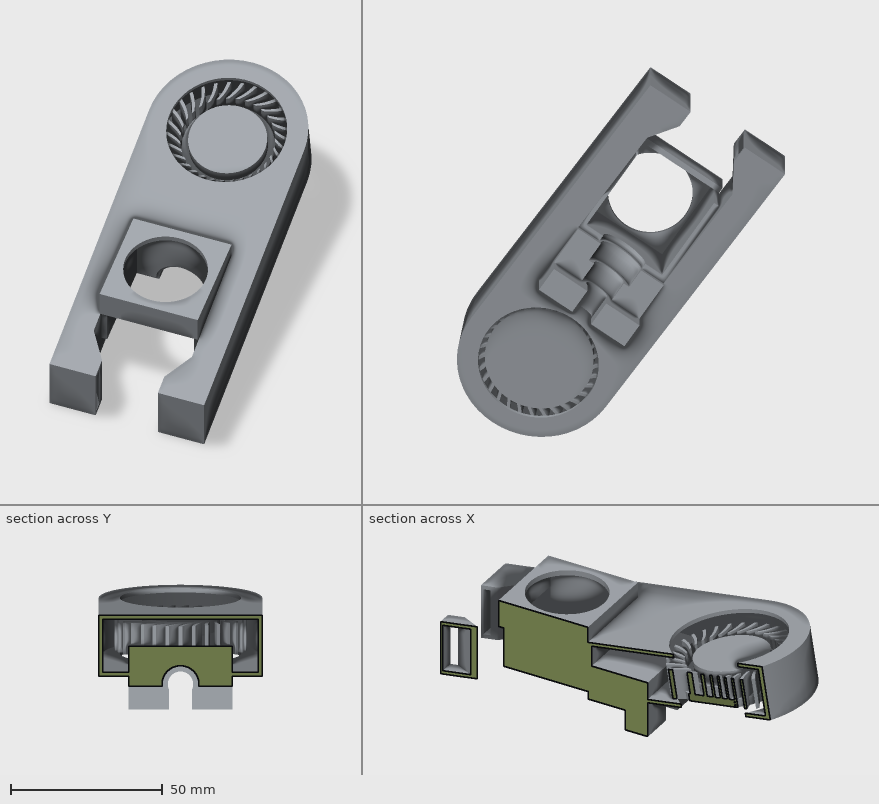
import cadquery as cq
import math

overall_length = 130.6
overall_height = 41.1
arm_width = 54.0
arm_thickness = 20.0
tilt = math.radians(9.2)
shell = 1.5

arm_radius = arm_width / 2
arm_length = (overall_length - arm_thickness * math.sin(tilt)) / math.cos(tilt)
hub_distance = arm_length - arm_radius
front_top_z = overall_height - arm_length * math.sin(tilt)
intake_radius = 20.0

fork_width = 34.2
fork_back_y = 56.2
fork_taper_back_y = 16.2
fork_taper_front_y = 6.4
fork_mouth_width = 21.7
prong_end_wall = 0.9

duct_wall = 2.0
duct_length = 34.1
duct_front_y = fork_back_y - duct_length
duct_top_z = 35.4
duct_bottom_z = 10.5
front_wall_height = 10.2
outlet_radius = 14.0
rear_arch_radius = 8.5

connector_back_y = 78.9
connector_bottom_z = 7.6
flange_thickness = 8.8
bore_z = 8.4
outer_bore_radius = 8.1
outer_bore_depth = 6.9
middle_bore_radius = 6.0
through_bore_radius = 4.2
flange_slot_width = 7.6

impeller_depth = 6.0
impeller_height = 11.0
disc_radius = 13.0
disc_rise = 4.5
hub_radius = 15.4
base_radius = 18.0
base_thickness = 2.9
blade_root_radius = 15.7
blade_tip_radius = 22.0
blade_count = 31
blade_sweep = 13.2
blade_bulge = 0.9
blade_thickness = 1.2
first_blade_angle = -90.0

tilted = cq.Plane(
    origin=(0, 0, front_top_z),
    xDir=(1, 0, 0),
    normal=(0, -math.sin(tilt), math.cos(tilt)),
)


def box_between(x_size, y_min, y_max, z_min, z_max):
    """Upright box centred on X."""
    return (
        cq.Workplane("XY")
        .box(x_size, y_max - y_min, z_max - z_min, centered=(True, False, False))
        .translate((0, y_min, z_min))
    )


def bore(radius, z, y_min, y_max):
    """Cylinder along Y on the centre plane."""
    return (
        cq.Workplane("XZ", origin=(0, y_min, z))
        .circle(radius)
        .extrude(y_min - y_max)
    )


def tilted_cylinder(radius, depth, height):
    """Cylinder on the fan axis, starting at a depth below the arm's top face."""
    return (
        cq.Workplane(tilted)
        .workplane(offset=-depth)
        .center(0, hub_distance)
        .circle(radius)
        .extrude(-height)
    )


def arm_block(inset, front_y):
    """Round-ended tilted arm, inset on every face and cut upright at front_y."""
    half_width = arm_radius - inset
    block = (
        cq.Workplane(tilted)
        .workplane(offset=-inset)
        .moveTo(-half_width, -arm_thickness)
        .lineTo(-half_width, hub_distance)
        .threePointArc((0, hub_distance + half_width), (half_width, hub_distance))
        .lineTo(half_width, -arm_thickness)
        .close()
        .extrude(-(arm_thickness - 2 * inset))
    )
    return block.intersect(
        box_between(arm_width, front_y, overall_length, -overall_height, overall_height)
    )


def fork_prism(half_width, back_y, taper_back_y, taper_front_y):
    """Upright prism through the fork, narrowing to the mouth between the prong tips."""
    half_mouth = fork_mouth_width / 2
    front_y = -arm_thickness
    return (
        cq.Workplane("XY", origin=(0, 0, -overall_height))
        .polyline([
            (-half_mouth, front_y),
            (-half_mouth, taper_front_y),
            (-half_width, taper_back_y),
            (-half_width, back_y),
            (half_width, back_y),
            (half_width, taper_back_y),
            (half_mouth, taper_front_y),
            (half_mouth, front_y),
        ])
        .close()
        .extrude(2 * overall_height)
    )


def fork_opening():
    return fork_prism(fork_width / 2, fork_back_y, fork_taper_back_y, fork_taper_front_y)


def fork_walls():
    """Fork opening grown by the shell, except at the mouth.

    The mouth has no wall, so the hollow of each prong breaks out
    in front of its taper as an upright window.
    """
    taper_width = (fork_width - fork_mouth_width) / 2
    taper_length = fork_taper_back_y - fork_taper_front_y
    taper_shift = shell * math.hypot(taper_width, taper_length) / taper_width
    window_back_y = fork_taper_front_y - taper_shift
    grown_length = taper_length * (taper_width + shell) / taper_width
    return fork_prism(
        fork_width / 2 + shell,
        fork_back_y + shell,
        window_back_y + grown_length,
        window_back_y,
    )


def hollow_arm():
    """Thin-walled arm with intake holes in both faces and the fork cut through."""
    cavity = arm_block(shell, prong_end_wall).cut(fork_walls())
    return (
        arm_block(0, 0)
        .cut(cavity)
        .cut(fork_opening())
        .cut(tilted_cylinder(intake_radius, 0, arm_thickness))
    )


def outlet_box():
    """Square duct, open below and at the lower front, with a round hole in its top."""
    duct = box_between(fork_width, duct_front_y, fork_back_y, duct_bottom_z, duct_top_z)
    inside = box_between(
        fork_width - 2 * duct_wall,
        duct_front_y + duct_wall,
        fork_back_y - duct_wall,
        duct_bottom_z,
        duct_top_z - duct_wall,
    )
    front_opening = box_between(
        fork_width,
        duct_front_y,
        duct_front_y + duct_wall,
        duct_bottom_z,
        duct_top_z - front_wall_height,
    )
    outlet = (
        cq.Workplane("XY", origin=(0, fork_back_y - duct_length / 2, duct_top_z))
        .circle(outlet_radius)
        .extrude(-2 * duct_wall)
    )
    return duct.cut(inside).cut(front_opening).cut(outlet)


def connector_block():
    """Block behind the duct with a flange hanging from its back end."""
    top_z = duct_bottom_z + rear_arch_radius + duct_wall
    body = box_between(fork_width, fork_back_y, connector_back_y, connector_bottom_z, top_z)
    flange = box_between(
        fork_width, connector_back_y - flange_thickness, connector_back_y, 0, connector_bottom_z
    )
    return body.union(flange)


def connector_bores():
    """Stepped bore from the duct to the flange, and the slot below it."""
    outer_end_y = fork_back_y + outer_bore_depth
    flange_front_y = connector_back_y - flange_thickness
    slot = box_between(flange_slot_width, flange_front_y, connector_back_y, 0, bore_z)
    return (
        bore(rear_arch_radius, duct_bottom_z, fork_back_y - duct_wall, fork_back_y)
        .union(bore(outer_bore_radius, bore_z, fork_back_y, outer_end_y))
        .union(bore(middle_bore_radius, bore_z, outer_end_y, flange_front_y))
        .union(bore(through_bore_radius, bore_z, flange_front_y, connector_back_y))
        .union(slot)
    )


def make_housing():
    return (
        hollow_arm()
        .union(connector_block())
        .union(outlet_box())
        .cut(connector_bores())
    )


def polar(radius, degrees):
    """Point around the fan axis, in the tilted frame."""
    angle = math.radians(degrees)
    return (radius * math.cos(angle), hub_distance + radius * math.sin(angle))


def blade(tip_angle):
    """Curved blade whose root, beside the hub, leads the tip by the sweep angle."""
    half_angle = math.degrees(blade_thickness / (2 * blade_tip_radius))
    root_half_angle = math.degrees(blade_thickness / (2 * blade_root_radius))
    root_angle = tip_angle + blade_sweep
    mid_radius = (blade_root_radius + blade_tip_radius) / 2
    mid_half_angle = math.degrees(blade_thickness / (2 * mid_radius))
    mid_angle = tip_angle + blade_sweep / 2 - math.degrees(blade_bulge / mid_radius)
    return (
        cq.Workplane(tilted)
        .workplane(offset=-impeller_depth)
        .moveTo(*polar(blade_root_radius, root_angle - root_half_angle))
        .threePointArc(
            polar(mid_radius, mid_angle - mid_half_angle),
            polar(blade_tip_radius, tip_angle - half_angle),
        )
        .lineTo(*polar(blade_tip_radius, tip_angle + half_angle))
        .threePointArc(
            polar(mid_radius, mid_angle + mid_half_angle),
            polar(blade_root_radius, root_angle + root_half_angle),
        )
        .close()
        .extrude(-impeller_height)
    )


def make_impeller():
    hub_depth = impeller_depth + disc_rise
    impeller = tilted_cylinder(disc_radius, impeller_depth, impeller_height)
    impeller = impeller.union(
        tilted_cylinder(hub_radius, hub_depth, impeller_height - disc_rise)
    )
    base_depth = impeller_depth + impeller_height - base_thickness
    impeller = impeller.union(tilted_cylinder(base_radius, base_depth, base_thickness))
    for index in range(blade_count):
        impeller = impeller.union(blade(first_blade_angle + index * 360 / blade_count))
    return impeller


housing = make_housing()
impeller = make_impeller()
result = cq.Compound.makeCompound([*housing.solids().vals(), *impeller.solids().vals()])